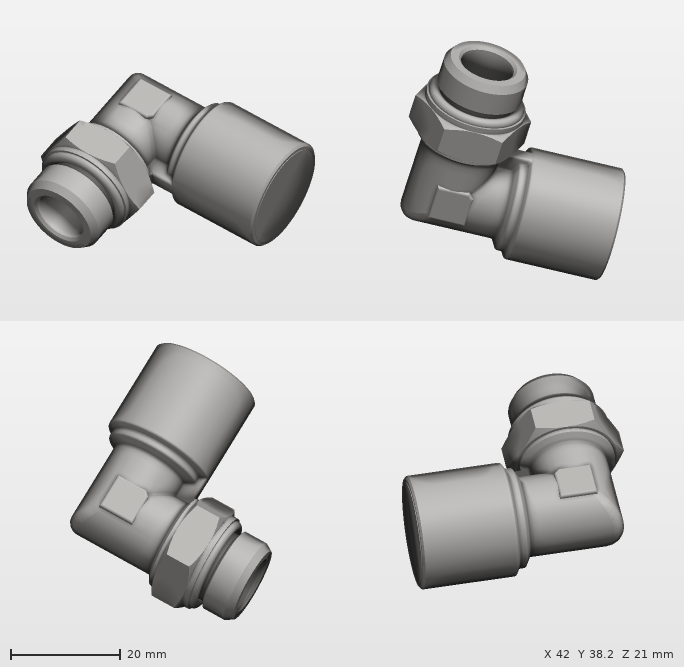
import cadquery as cq
import math

ARM_RADIUS = 7.4
CORNER_RADIUS = 2.0
BLEND_RADIUS = 0.5
CONE_SLOPE = math.tan(math.radians(60.0))

COLLAR_RADIUS = 9.0
CONE_START = 10.2
LEG_CONE_END = CONE_START + (COLLAR_RADIUS - ARM_RADIUS) / CONE_SLOPE
HEX_ACROSS_FLATS = 19.0
HEX_CHAMFER_ANGLE = 30.0
HEX_START = 11.95
HEX_END = 18.4
RING_RADIUS = 9.4
RING_END = 19.5
SEAL_RING_RADIUS = 8.0
SEAL_SECTION_RADIUS = 1.0
SEAL_POSITION = 19.7
NECK_RADIUS = 6.85
NECK_END = 21.25
THREAD_RADIUS = 8.0
THREAD_START = 21.85
THREAD_CHAMFER_START = 26.3
TIP_RADIUS = 7.1
LEG_LENGTH = 27.7

BORE_RADIUS = 5.0
BORE_CHAMFER = 0.5

SOCKET_RADIUS = 10.5
SHOULDER_RADIUS = 9.25
SHOULDER_START = CONE_START + (SHOULDER_RADIUS - ARM_RADIUS) / CONE_SLOPE
SHOULDER_END = 12.5
SOCKET_START = SHOULDER_END + (SOCKET_RADIUS - SHOULDER_RADIUS) / CONE_SLOPE
SOCKET_FACE = 30.9
SOCKET_CHAMFER = 0.4
SLEEVE_RADIUS = 9.4
SOCKET_LENGTH = 31.0

PAD_HEIGHT = 7.55
PAD_OUTER = 3.0
PAD_INNER = 4.0
PAD_CORNER_CUT = 1.0

WEB_HALF_THICKNESS = 1.5
WEB_END_RADIUS = 8.9
WEB_FLAT_BOTTOM = math.sqrt(
    (SOCKET_RADIUS - BLEND_RADIUS) ** 2 - (WEB_HALF_THICKNESS - BLEND_RADIUS) ** 2
)
WEB_FLAT_END = math.sqrt(WEB_END_RADIUS**2 - WEB_HALF_THICKNESS**2)


def within(low, high):
    """Selector for edges lying wholly inside the box between two corners."""
    margin = 0.01
    return cq.selectors.BoxSelector(
        [value - margin for value in low],
        [value + margin for value in high],
        boundingbox=True,
    )


def across(axis, position):
    """Selector for edges lying in the plane that crosses an axis at a position."""
    reach = 2 * LEG_LENGTH
    low = [-reach] * 3
    high = [reach] * 3
    low["XYZ".index(axis)] = position
    high["XYZ".index(axis)] = position
    return within(low, high)


def nut_leg():
    """Turned profile of the nut leg: arm, collar, ring, neck and thread."""
    profile = (
        cq.Workplane("XY")
        .moveTo(0, ARM_RADIUS)
        .lineTo(ARM_RADIUS, ARM_RADIUS)
        .lineTo(ARM_RADIUS, -CONE_START)
        .lineTo(COLLAR_RADIUS, -LEG_CONE_END)
        .lineTo(COLLAR_RADIUS, -HEX_START)
        .lineTo(RING_RADIUS, -HEX_START)
        .lineTo(RING_RADIUS, -RING_END)
        .lineTo(NECK_RADIUS, -RING_END)
        .lineTo(NECK_RADIUS, -NECK_END)
        .lineTo(THREAD_RADIUS, -THREAD_START)
        .lineTo(THREAD_RADIUS, -THREAD_CHAMFER_START)
        .lineTo(TIP_RADIUS, -LEG_LENGTH)
        .lineTo(0, -LEG_LENGTH)
        .close()
    )
    leg = profile.revolve(360, (0, 0, 0), (0, 1, 0))
    return leg.edges(across("Y", -CONE_START)).fillet(BLEND_RADIUS)


def socket_leg():
    """Turned profile of the socket leg: arm, shoulder, socket and end sleeve."""
    profile = (
        cq.Workplane("XY")
        .moveTo(-ARM_RADIUS, 0)
        .lineTo(-ARM_RADIUS, ARM_RADIUS)
        .lineTo(CONE_START, ARM_RADIUS)
        .lineTo(SHOULDER_START, SHOULDER_RADIUS)
        .lineTo(SHOULDER_END, SHOULDER_RADIUS)
        .lineTo(SOCKET_START, SOCKET_RADIUS)
        .lineTo(SOCKET_FACE - SOCKET_CHAMFER, SOCKET_RADIUS)
        .lineTo(SOCKET_FACE, SOCKET_RADIUS - SOCKET_CHAMFER)
        .lineTo(SOCKET_FACE, SLEEVE_RADIUS)
        .lineTo(SOCKET_LENGTH, SLEEVE_RADIUS)
        .lineTo(SOCKET_LENGTH, 0)
        .close()
    )
    leg = profile.revolve(360, (0, 0, 0), (1, 0, 0))
    for position in (CONE_START, SHOULDER_START, SHOULDER_END, SOCKET_START):
        leg = leg.edges(across("X", position)).fillet(BLEND_RADIUS)
    return leg


def mitre_half(side):
    """Half space on one side of the plane x + y = 0, for side = +1 or -1."""
    reach = 2 * LEG_LENGTH
    return (
        cq.Workplane("XY")
        .polyline([(-reach, reach), (reach, -reach), (side * reach, side * reach)])
        .close()
        .extrude(reach, both=True)
    )


def pads():
    """Block whose upper and lower faces stand just proud of the arms."""
    outline = [
        (-PAD_OUTER, PAD_OUTER),
        (PAD_INNER, PAD_OUTER),
        (PAD_INNER, -PAD_INNER + PAD_CORNER_CUT),
        (PAD_INNER - PAD_CORNER_CUT, -PAD_INNER),
        (-PAD_OUTER, -PAD_INNER),
    ]
    block = cq.Workplane("XY").polyline(outline).close().extrude(PAD_HEIGHT, both=True)
    return block.faces("|Z").edges().fillet(BLEND_RADIUS)


def web():
    """Plate filling the inner corner, flush with the socket and just inside the collar."""
    socket_part = cq.Workplane("YZ").circle(SOCKET_RADIUS).extrude(SOCKET_START)
    collar_part = cq.Workplane("XZ").circle(WEB_END_RADIUS).extrude(LEG_CONE_END)
    plate = (
        cq.Workplane("XY")
        .rect(SOCKET_START, -LEG_CONE_END, centered=False)
        .extrude(WEB_HALF_THICKNESS, both=True)
    )
    plate = plate.intersect(socket_part.union(collar_part))
    edge_depth = math.sqrt(SOCKET_RADIUS**2 - WEB_HALF_THICKNESS**2)
    return plate.edges(across("Y", -edge_depth)).edges("|X").fillet(BLEND_RADIUS)


def hex_nut():
    """Hexagon with both ends turned to a cone that meets the flats midway."""
    across_corners = HEX_ACROSS_FLATS / math.cos(math.pi / 6)
    corner_radius = across_corners / 2
    chamfer_radius = HEX_ACROSS_FLATS / 2
    drop = (corner_radius - chamfer_radius) * math.tan(math.radians(HEX_CHAMFER_ANGLE))
    prism = (
        cq.Workplane("XZ", origin=(0, -HEX_START, 0))
        .polygon(6, across_corners)
        .extrude(HEX_END - HEX_START)
    )
    turned = (
        cq.Workplane("XY")
        .moveTo(0, -HEX_START)
        .lineTo(chamfer_radius, -HEX_START)
        .lineTo(corner_radius, -HEX_START - drop)
        .lineTo(corner_radius, -HEX_END + drop)
        .lineTo(chamfer_radius, -HEX_END)
        .lineTo(0, -HEX_END)
        .close()
        .revolve(360, (0, 0, 0), (0, 1, 0))
    )
    return prism.intersect(turned)


def seal_ring():
    """O-ring seated against the ring next to the nut."""
    return (
        cq.Workplane("XY")
        .center(SEAL_RING_RADIUS, -SEAL_POSITION)
        .circle(SEAL_SECTION_RADIUS)
        .revolve(360, (-SEAL_RING_RADIUS, 0, 0), (-SEAL_RING_RADIUS, 1, 0))
    )


def bore():
    """Chamfered blind bore of the nut leg, with a ball standing up from its closed end."""
    mouth_radius = BORE_RADIUS + BORE_CHAMFER
    barrel = (
        cq.Workplane("XY")
        .lineTo(BORE_RADIUS, 0)
        .lineTo(BORE_RADIUS, BORE_CHAMFER - LEG_LENGTH)
        .lineTo(mouth_radius, -LEG_LENGTH)
        .lineTo(0, -LEG_LENGTH)
        .close()
        .revolve(360, (0, 0, 0), (0, 1, 0))
    )
    return barrel.cut(cq.Workplane("XY").sphere(BORE_RADIUS))


def elbow_fitting():
    """Both legs mitred together, with nut, pads, web and bore, rounded where they meet."""
    fitted_nut_leg = nut_leg().union(hex_nut()).union(seal_ring())
    body = fitted_nut_leg.intersect(mitre_half(-1)).union(socket_leg().intersect(mitre_half(1)))
    body = body.union(pads()).union(web()).cut(bore())

    corner_height = math.sqrt(ARM_RADIUS**2 - PAD_OUTER**2)
    outer_mitre = within(
        (-ARM_RADIUS, PAD_OUTER, -corner_height),
        (-PAD_OUTER, ARM_RADIUS, corner_height),
    )
    body = body.edges(outer_mitre).fillet(CORNER_RADIUS)

    crease_start = PAD_INNER - PAD_CORNER_CUT / 2
    creases = within(
        (crease_start, -ARM_RADIUS, -ARM_RADIUS),
        (ARM_RADIUS, -crease_start, ARM_RADIUS),
    )
    web_outline = across("Z", WEB_HALF_THICKNESS) + across("Z", -WEB_HALF_THICKNESS)
    free_edges = across("Y", -WEB_FLAT_BOTTOM) + across("X", WEB_FLAT_END)
    return body.edges(creases + (web_outline - free_edges)).fillet(BLEND_RADIUS)


result = elbow_fitting()